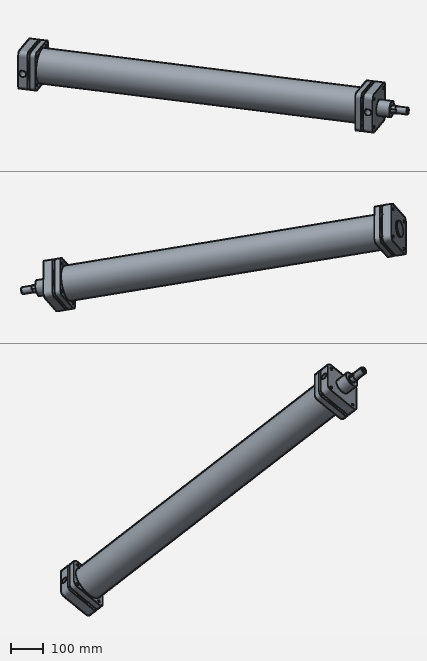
import cadquery as cq

total_length = 1231.0
boss_length = 5.0
cap_length = 30.0
cap_gap = 7.0
flange_length = 18.0
head_span = 1133.0
nose_length = 41.0

head_width = 125.0
corner_radius = 15.0

barrel_diameter = 110.0
nose_diameter = 50.0
rod_diameter = 25.0
rod_flat_width = 22.0
thread_diameter = 22.0

shank_length = 18.0
shoulder_taper_length = 4.0
thread_chamfer = 2.0

port_diameter = 21.0
port_depth = 37.0
port_offset = 7.0
screw_spacing = 92.0
screw_hole_diameter = 7.0
screw_hole_depth = 15.0

rear_cap_start = boss_length
rear_cap_end = rear_cap_start + cap_length
rear_flange_start = rear_cap_end + cap_gap
front_cap_end = rear_cap_start + head_span
front_cap_start = front_cap_end - cap_length
front_flange_start = front_cap_start - cap_gap - flange_length
nose_end = front_cap_end + nose_length
shank_end = nose_end + shank_length


def cylinder(start, end, diameter):
    """Cylinder about the X axis between two stations."""
    return cq.Workplane("YZ", origin=(start, 0, 0)).circle(diameter / 2).extrude(end - start)


def square_block(start, length):
    """Square block across the X axis with its four long edges rounded."""
    block = cq.Workplane("YZ", origin=(start, 0, 0)).rect(head_width, head_width).extrude(length)
    return block.edges("|X").fillet(corner_radius)


def screw_holes(start, length):
    """Four cutters at the corners of the screw pattern."""
    pattern = cq.Workplane("YZ", origin=(start, 0, 0)).rect(screw_spacing, screw_spacing, forConstruction=True)
    return pattern.vertices().circle(screw_hole_diameter / 2).extrude(length)


def port(start, height):
    """Cutter for a blind port in the -Y side, centred along a cap."""
    centre = (start + cap_length / 2, -head_width / 2, height)
    return cq.Workplane("XZ", origin=centre).circle(port_diameter / 2).extrude(-port_depth)


def make_rear_cap():
    """Rear cap with a low round boss, a port below centre and blind screw holes."""
    cap = square_block(rear_cap_start, cap_length)
    cap = cap.union(cylinder(0, rear_cap_start, nose_diameter))
    cap = cap.cut(port(rear_cap_start, -port_offset))
    return cap.cut(screw_holes(rear_cap_start, screw_hole_depth))


def make_front_cap():
    """Front cap with the rod nose, a rod bore, a port above centre and blind screw holes."""
    cap = square_block(front_cap_start, cap_length)
    cap = cap.union(cylinder(front_cap_end, nose_end, nose_diameter))
    cap = cap.cut(cylinder(front_cap_start, nose_end, rod_diameter))
    cap = cap.cut(port(front_cap_start, port_offset))
    return cap.cut(screw_holes(front_cap_end - screw_hole_depth, screw_hole_depth))


def make_flange(start):
    """Square flange around the barrel with four screw holes."""
    flange = square_block(start, flange_length)
    flange = flange.cut(cylinder(start, start + flange_length, barrel_diameter))
    return flange.cut(screw_holes(start, flange_length))


def make_rod():
    """Rod through the front cap, with a tapered shoulder, two wrench flats and a thread end."""
    shoulder_step = (rod_diameter - thread_diameter) / 2
    shank = cylinder(front_cap_start, shank_end, rod_diameter)
    shank = shank.faces(">X").chamfer(shoulder_taper_length, shoulder_step)
    flat_cutter = cq.Workplane("XY").box(shank_length, rod_diameter, rod_diameter)
    for side in (-1, 1):
        flat_centre_y = side * (rod_flat_width + rod_diameter) / 2
        shank = shank.cut(flat_cutter.translate((nose_end + shank_length / 2, flat_centre_y, 0)))
    thread = cylinder(shank_end, total_length, thread_diameter).faces(">X").chamfer(thread_chamfer)
    return shank.union(thread)


rear_cap = make_rear_cap()
front_cap = make_front_cap()
barrel = cylinder(rear_cap_end, front_cap_start, barrel_diameter)
flanges = [make_flange(start) for start in (rear_flange_start, front_flange_start)]
rod = make_rod()

result = cq.Compound.makeCompound(
    [rear_cap.val(), front_cap.val(), barrel.val(), *[flange.val() for flange in flanges], rod.val()]
)